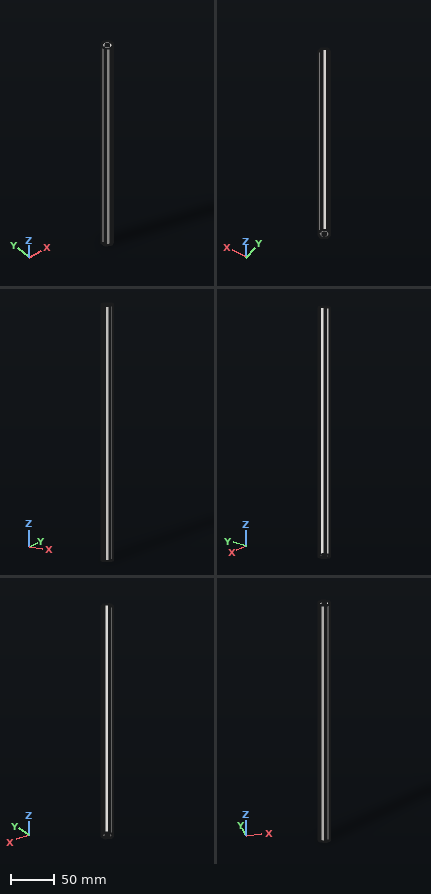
import cadquery as cq

length = 304.8
across_flats = 12.69
corner_diameter = 13.73
bore_diameter = 4.04

HEX_SIDES = 6


def rounded_hex_bar():
    """Hexagonal bar along Z, flats facing +X and -X, corners cut to a cylinder."""
    hexagon = cq.Workplane("XY").polygon(HEX_SIDES, across_flats, circumscribed=True).extrude(length)
    corner_cylinder = cq.Workplane("XY").circle(corner_diameter / 2).extrude(length)
    return hexagon.intersect(corner_cylinder)


def through_bore():
    """Cylinder that opens the full length of the shaft."""
    return cq.Workplane("XY").circle(bore_diameter / 2).extrude(length)


result = rounded_hex_bar().cut(through_bore())